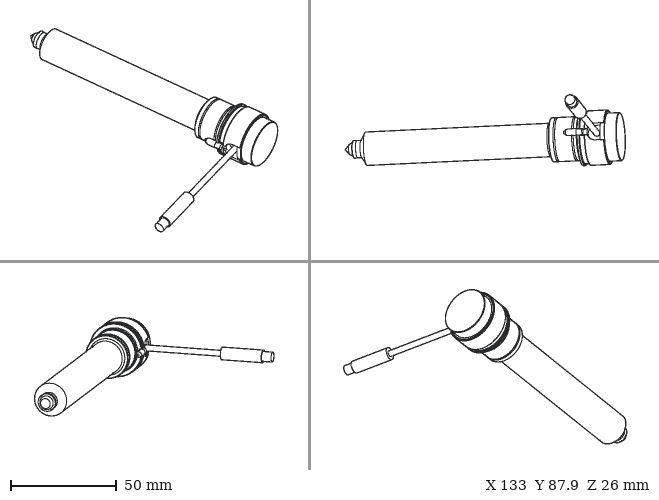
import cadquery as cq


TIP_CONE_LENGTH = 2.1
TIP_CONE_RADIUS = 2.4
TIP_SHOULDER_X = 3.9
TIP_SHOULDER_RADIUS = 3.3
TIP_COLLAR_RADIUS = 4.3
TIP_COLLAR_START_X = 4.3
TIP_COLLAR_END_X = 5.3
TIP_END_X = 5.9

NECK_RADIUS = 4.1
NECK_END_X = 8.0
BARREL_START_X = 10.4
BARREL_RADIUS = 8.0
BARREL_END_X = 98.8
SLEEVE_START_X = 100.0
SLEEVE_CONE_RADIUS = 8.9
SLEEVE_RADIUS = 10.5
SLEEVE_CHAMFER = 0.3
SLEEVE_END_X = 113.5
LINE_GROOVE_STARTS = (102.3, 111.2)
LINE_GROOVE_WIDTH = 0.8
LINE_GROOVE_DEPTH = 0.07

HEAD_DIAMETER = 26.0
HEAD_RADIUS = HEAD_DIAMETER / 2
FLANGE_START_X = 114.1
FLANGE_FOOT_RADIUS = 10.9
FLANGE_END_X = 115.5
FLANGE_CHAMFER = 0.3
RING_GROOVE_RADIUS = 12.1
HEAD_START_X = 117.7
HEAD_END_X = 127.3
HEAD_CHAMFER = 0.3

CAP_RADIUS = 11.5
CAP_CHAMFER = 0.3
CAP_FLANGE_RADIUS = 12.2
CAP_FLANGE_START_X = 125.3
TOTAL_LENGTH = 133.0

CABLE_X = 123.0
CABLE_RADIUS = 1.5
CONNECTOR_START_Y = -50.0
CONNECTOR_RADIUS = 3.0
PLUG_START_Y = -70.2
PLUG_RADIUS = 2.4
TOTAL_WIDTH = 87.9
PLUG_END_Y = HEAD_RADIUS - TOTAL_WIDTH
SLOT_HALF_WIDTH = 4.1
SLOT_FLOOR_RADIUS = 8.6

PIN_Y = -13.0
PIN_START_X = 108.0
PIN_POINT_RADIUS = 0.5
PIN_POINT_LENGTH = 1.0
PIN_POINT_END_RADIUS = 1.3
PIN_TAPER_LENGTH = 0.9
PIN_HEAD_DIAMETER = 3.2
PIN_SHANK_DIAMETER = 2.9
PIN_END_X = 116.9


def turned(outline):
    """Solid of revolution about the X axis from (x, radius) points."""
    return cq.Workplane("XY").polyline(outline).close().revolve(360, (0, 0, 0), (1, 0, 0))


def rod_along_y(radius, start_y, end_y):
    """Round rod on the cable axis, running from start_y down to end_y."""
    return cq.Workplane("XZ", origin=(CABLE_X, start_y, 0)).circle(radius).extrude(start_y - end_y)


def make_tip():
    return turned([
        (0, 0),
        (TIP_CONE_LENGTH, TIP_CONE_RADIUS),
        (TIP_SHOULDER_X, TIP_SHOULDER_RADIUS),
        (TIP_COLLAR_START_X, TIP_COLLAR_RADIUS),
        (TIP_COLLAR_END_X, TIP_COLLAR_RADIUS),
        (TIP_END_X, NECK_RADIUS),
        (TIP_END_X, 0),
    ])


def make_body_blank():
    return turned([
        (TIP_END_X, 0),
        (TIP_END_X, NECK_RADIUS),
        (NECK_END_X, NECK_RADIUS),
        (BARREL_START_X, BARREL_RADIUS),
        (BARREL_END_X, BARREL_RADIUS),
        (SLEEVE_START_X, SLEEVE_CONE_RADIUS),
        (SLEEVE_START_X, SLEEVE_RADIUS - SLEEVE_CHAMFER),
        (SLEEVE_START_X + SLEEVE_CHAMFER, SLEEVE_RADIUS),
        (SLEEVE_END_X, SLEEVE_RADIUS),
        (FLANGE_START_X, FLANGE_FOOT_RADIUS),
        (FLANGE_START_X, HEAD_RADIUS - FLANGE_CHAMFER),
        (FLANGE_START_X + FLANGE_CHAMFER, HEAD_RADIUS),
        (FLANGE_END_X - FLANGE_CHAMFER, HEAD_RADIUS),
        (FLANGE_END_X, HEAD_RADIUS - FLANGE_CHAMFER),
        (FLANGE_END_X, RING_GROOVE_RADIUS),
        (HEAD_START_X, RING_GROOVE_RADIUS),
        (HEAD_START_X, HEAD_RADIUS - HEAD_CHAMFER),
        (HEAD_START_X + HEAD_CHAMFER, HEAD_RADIUS),
        (HEAD_END_X - HEAD_CHAMFER, HEAD_RADIUS),
        (HEAD_END_X, HEAD_RADIUS - HEAD_CHAMFER),
        (HEAD_END_X, CAP_FLANGE_RADIUS),
        (CAP_FLANGE_START_X, CAP_FLANGE_RADIUS),
        (CAP_FLANGE_START_X, 0),
    ])


def line_groove(start_x):
    """Ring that cuts a shallow groove around the sleeve."""
    end_x = start_x + LINE_GROOVE_WIDTH
    floor_radius = SLEEVE_RADIUS - LINE_GROOVE_DEPTH
    outer_radius = SLEEVE_RADIUS + LINE_GROOVE_DEPTH
    return turned([
        (start_x, floor_radius),
        (end_x, floor_radius),
        (end_x, outer_radius),
        (start_x, outer_radius),
    ])


def slot_core():
    """Round core inside the head that forms the curved floor of the cable slot."""
    length = HEAD_END_X - HEAD_START_X
    return cq.Workplane("YZ", origin=(HEAD_START_X, 0, 0)).circle(SLOT_FLOOR_RADIUS).extrude(length)


def cable_slot():
    """U-shaped slot from the -Y side of the head down to the core, open towards the end cap."""
    round_end = rod_along_y(SLOT_HALF_WIDTH, 0, -HEAD_RADIUS)
    straight = cq.Workplane("XY").box(
        HEAD_END_X - CABLE_X, HEAD_RADIUS, 2 * SLOT_HALF_WIDTH, centered=(False, False, True)
    )
    straight = straight.translate((CABLE_X, -HEAD_RADIUS, 0))
    return round_end.union(straight).cut(slot_core())


def pin_channel():
    """Flat-bottomed channel for the pin shank, from the flange face into the cable slot."""
    length = CABLE_X - FLANGE_START_X
    floor_y = PIN_Y + PIN_SHANK_DIAMETER / 2
    depth = floor_y + HEAD_RADIUS
    channel = cq.Workplane("XY").box(length, depth, PIN_SHANK_DIAMETER, centered=(False, False, True))
    return channel.translate((FLANGE_START_X, -HEAD_RADIUS, 0))


def make_body():
    body = make_body_blank()
    for start_x in LINE_GROOVE_STARTS:
        body = body.cut(line_groove(start_x))
    return body.cut(cable_slot()).cut(pin_channel())


def make_end_cap():
    """Cap whose flange sits in the open end of the head."""
    return turned([
        (CAP_FLANGE_START_X, 0),
        (CAP_FLANGE_START_X, CAP_FLANGE_RADIUS),
        (HEAD_END_X, CAP_FLANGE_RADIUS),
        (HEAD_END_X, CAP_RADIUS),
        (TOTAL_LENGTH - CAP_CHAMFER, CAP_RADIUS),
        (TOTAL_LENGTH, CAP_RADIUS - CAP_CHAMFER),
        (TOTAL_LENGTH, 0),
    ])


def make_pin():
    point_end_x = PIN_START_X + PIN_POINT_LENGTH
    taper_end_x = point_end_x + PIN_TAPER_LENGTH
    head_radius = PIN_HEAD_DIAMETER / 2
    shank_radius = PIN_SHANK_DIAMETER / 2
    pin = turned([
        (PIN_START_X, 0),
        (PIN_START_X, PIN_POINT_RADIUS),
        (point_end_x, PIN_POINT_END_RADIUS),
        (taper_end_x, head_radius),
        (FLANGE_START_X, head_radius),
        (FLANGE_START_X, shank_radius),
        (PIN_END_X, shank_radius),
        (PIN_END_X, 0),
    ])
    return pin.translate((0, PIN_Y, 0))


def make_cable():
    cable = rod_along_y(CABLE_RADIUS, 0, CONNECTOR_START_Y).cut(slot_core())
    connector = rod_along_y(CONNECTOR_RADIUS, CONNECTOR_START_Y, PLUG_START_Y)
    plug = rod_along_y(PLUG_RADIUS, PLUG_START_Y, PLUG_END_Y)
    return cable.union(connector).union(plug)


tip = make_tip()
body = make_body()
end_cap = make_end_cap()
pin = make_pin()
cable = make_cable()

result = cq.Compound.makeCompound([
    tip.val(),
    body.val(),
    end_cap.val(),
    pin.val(),
    cable.val(),
])